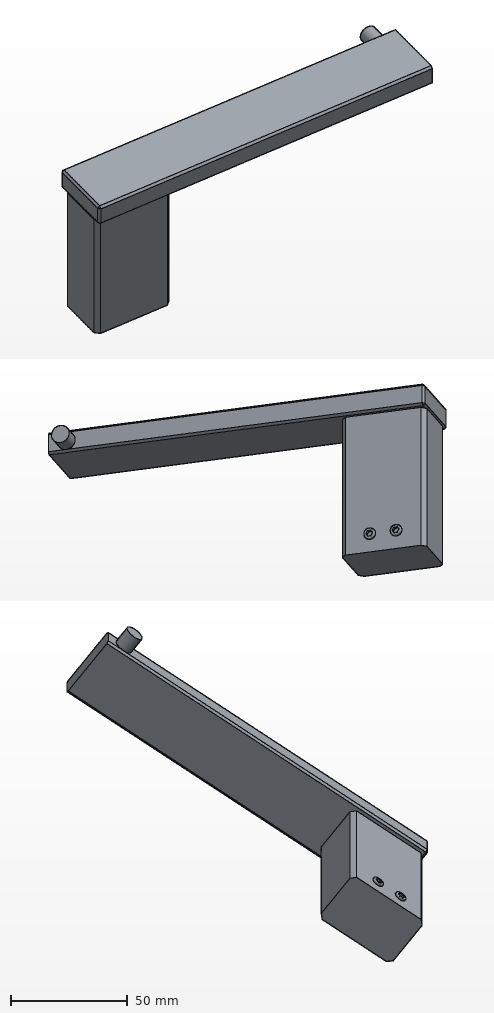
import cadquery as cq

arm_length = 170.0
arm_width = 30.1
arm_height = 10.0
arm_chamfer = 1.0

post_width = 25.0
post_depth = 38.2
post_height = 64.0
post_inset = 0.3
post_chamfer = 2.0

pin_diameter = 8.0
pin_length = 8.0
pin_from_free_end = 8.2

screw_diameter = 5.1
screw_length = 3.0
screw_standout = 1.0
screw_edge_fillet = 0.3
screw_spacing = 11.9
screw_z = 8.3
socket_across_flats = 2.5
socket_depth = 1.5

arm_side_x = -arm_width / 2
post_side_x = -post_width / 2
arm_mid_z = post_height + arm_height / 2
post_mid_y = post_inset + post_depth / 2
recess_depth = screw_length - screw_standout
screw_ys = [post_mid_y + side * screw_spacing / 2 for side in (-1, 1)]


def side_plane(x, y, z):
    """Plane at the given point that faces outward along -X, with its local x axis along Z."""
    return cq.Workplane(cq.Plane((x, y, z), (0, 0, 1), (-1, 0, 0)))


def make_arm():
    """Bar with every edge chamfered except those around the plain +Y end."""
    bar = cq.Workplane("XY").box(arm_width, arm_length, arm_height, centered=(True, False, False))
    bar = bar.edges("not(>Y)").chamfer(arm_chamfer)
    return bar.translate((0, 0, post_height))


def make_post():
    """Block with chamfered upright edges and a round recess for each screw."""
    block = cq.Workplane("XY").box(post_width, post_depth, post_height, centered=(True, False, False))
    block = block.edges("|Z").chamfer(post_chamfer).translate((0, post_inset, 0))
    for y in screw_ys:
        recess = side_plane(post_side_x, y, screw_z).circle(screw_diameter / 2).extrude(-recess_depth)
        block = block.cut(recess)
    return block


def make_pin():
    """Plain cylinder standing out from the side of the arm."""
    base = side_plane(arm_side_x, arm_length - pin_from_free_end, arm_mid_z)
    return base.circle(pin_diameter / 2).extrude(pin_length)


def make_screw(y):
    """Round head with a filleted outer edge and a hexagon socket, its flats at top and bottom."""
    outer_face = side_plane(post_side_x - screw_standout, y, screw_z)
    head = outer_face.circle(screw_diameter / 2).extrude(-screw_length)
    head = head.faces("<X").edges().fillet(screw_edge_fillet)
    socket = outer_face.polygon(6, socket_across_flats, circumscribed=True).extrude(-socket_depth)
    return head.cut(socket)


arm = make_arm()
post = make_post()
pin = make_pin()
screws = [make_screw(y) for y in screw_ys]

result = cq.Compound.makeCompound(
    [arm.val(), post.val(), pin.val(), *[screw.val() for screw in screws]]
)